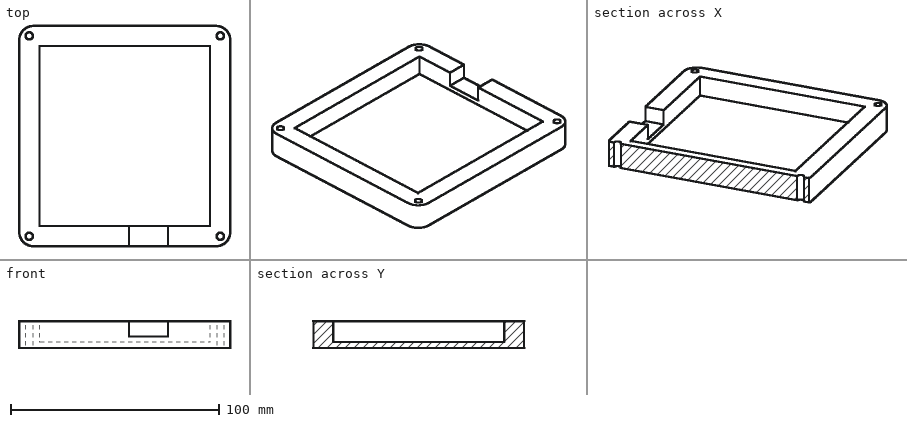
import cadquery as cq

length_x = 101.4
length_y = 105.9
height = 13.0
corner_radius = 7.0

rim_width = 9.7
floor_thickness = 3.0
pocket_x = length_x - 2 * rim_width
pocket_y = length_y - 2 * rim_width
pocket_depth = height - floor_thickness

hole_diameter = 3.4
hole_inset = rim_width / 2

notch_width = 18.7
notch_depth = 7.5
notch_center_x = 11.3


def make_body():
    """Solid block with rounded vertical corners."""
    block = cq.Workplane("XY").box(length_x, length_y, height, centered=(True, True, False))
    return block.edges("|Z").fillet(corner_radius)


def cut_pocket(body):
    """Sink the sharp-cornered pocket from the top face."""
    return body.faces(">Z").workplane().rect(pocket_x, pocket_y).cutBlind(-pocket_depth)


def cut_screw_holes(body):
    """Drill one through hole in each corner of the rim."""
    spacing_x = length_x - 2 * hole_inset
    spacing_y = length_y - 2 * hole_inset
    holes = (
        cq.Workplane("XY")
        .rect(spacing_x, spacing_y, forConstruction=True)
        .vertices()
        .circle(hole_diameter / 2)
        .extrude(height)
    )
    return body.cut(holes)


def cut_notch(body):
    """Open the front rim from the outside face into the pocket."""
    notch_center_y = -(length_y - rim_width) / 2
    notch = (
        cq.Workplane("XY", origin=(notch_center_x, notch_center_y, height - notch_depth))
        .rect(notch_width, rim_width)
        .extrude(notch_depth)
    )
    return body.cut(notch)


result = cut_notch(cut_screw_holes(cut_pocket(make_body())))